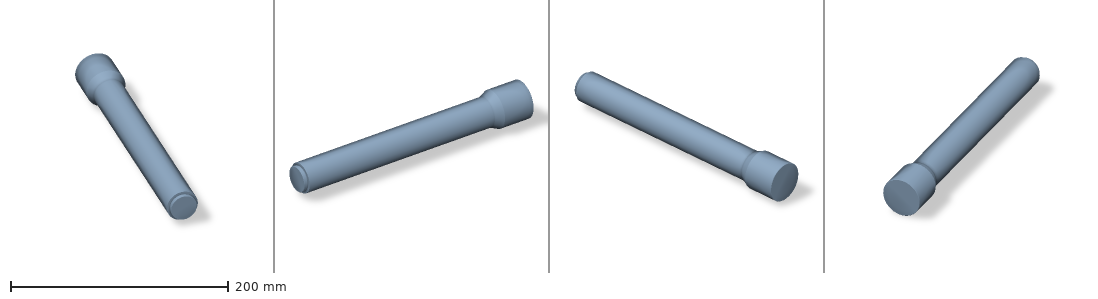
import cadquery as cq

total_length = 249.2
head_diameter = 38.0
shaft_diameter = 30.0
neck_diameter = 24.5
tip_diameter = 25.4

head_length = 31.8
taper_length = 8.7
neck_length = 1.0
tip_length = 4.2

end_chamfer = 0.3
taper_fillet_radius = 1.0

taper_end_x = head_length + taper_length
shoulder_x = total_length - tip_length
neck_end_x = shoulder_x + neck_length

head_radius = head_diameter / 2
shaft_radius = shaft_diameter / 2
neck_radius = neck_diameter / 2
tip_radius = tip_diameter / 2


def turned_body():
    """Revolve the half profile about the X axis."""
    profile = (
        cq.Workplane("XZ")
        .moveTo(0, 0)
        .lineTo(0, head_radius - end_chamfer)
        .lineTo(end_chamfer, head_radius)
        .lineTo(head_length, head_radius)
        .lineTo(taper_end_x, shaft_radius)
        .lineTo(shoulder_x, shaft_radius)
        .lineTo(shoulder_x, neck_radius)
        .lineTo(neck_end_x, neck_radius)
        .lineTo(neck_end_x, tip_radius)
        .lineTo(total_length - end_chamfer, tip_radius)
        .lineTo(total_length, tip_radius - end_chamfer)
        .lineTo(total_length, 0)
        .close()
    )
    return profile.revolve(360, (0, 0, 0), (1, 0, 0))


def fillet_taper_end(body):
    """Round the inside corner where the cone runs into the shaft."""
    half_window = taper_fillet_radius / 2
    corner = cq.selectors.BoxSelector(
        (taper_end_x - half_window, -head_radius, -head_radius),
        (taper_end_x + half_window, head_radius, head_radius),
    )
    return body.edges(corner).fillet(taper_fillet_radius)


result = fillet_taper_end(turned_body())